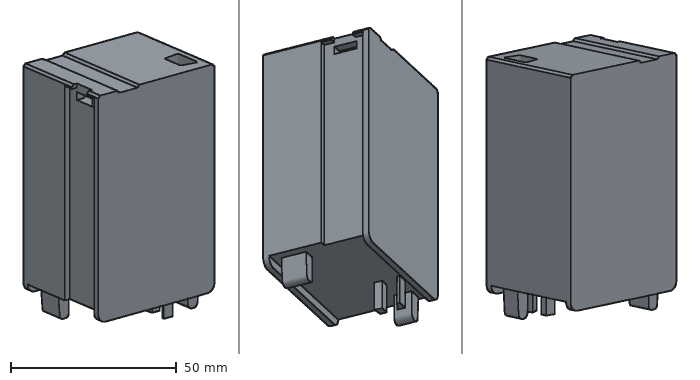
import cadquery as cq

WIDTH = 36.0
DEPTH = 45.0
HEIGHT = 79.7
LEFT = -WIDTH / 2
RIGHT = WIDTH / 2

SKIRT_Z = 6.5
FLOOR_Z = 9.4
WALL = 2.1
SKIRT_RADIUS = FLOOR_Z - SKIRT_Z
EDGE_CHAMFER = 0.8

GROOVE_DEPTH = 0.8
GROOVE_FRONT = 7.4
GROOVE_BACK = 15.95
GROOVE_SLOPE = 0.8

PANEL_LEFT = LEFT + 19.9
PANEL_RIGHT = RIGHT - WALL
PANEL_TOP = HEIGHT - 1.35
PANEL_DEPTH = 1.9
NOTCH_LEFT = LEFT + 23.35
NOTCH_RIGHT = LEFT + 30.5
SLOT_RIGHT = LEFT + 30.85
SLOT_TOP = HEIGHT - 2.8
SLOT_BOTTOM = HEIGHT - 5.35
SLOT_DEPTH = 3.2
SLOT_RADIUS = 0.9

POCKET_X = LEFT + 27.0
POCKET_BACK = DEPTH - 3.0
POCKET_FRONT = DEPTH - 9.0
POCKET_BACK_WIDTH = 9.7
POCKET_FRONT_WIDTH = 7.8
POCKET_DEPTH = 5.3
POCKET_RADIUS = 0.8

FRONT_FOOT_LEFT = LEFT + 4.8
FRONT_FOOT_WIDTH = 8.4
FRONT_FOOT_Y = 2.95
FRONT_FOOT_BACK = 7.0
FRONT_FOOT_BOTTOM = 0.4
FRONT_FOOT_TAPER = 0.6
FRONT_FOOT_TAPER_Z = 8.4
FRONT_FOOT_RADIUS = 1.3
REAR_FOOT_LEFT = LEFT + 23.9
REAR_FOOT_WIDTH = 6.05
REAR_FOOT_FRONT = DEPTH - 5.5
REAR_FOOT_BACK = DEPTH - 1.2
REAR_FOOT_TAPER = 0.55
REAR_FOOT_BOTTOM = 0.15
REAR_FOOT_RADIUS = 1.8
PIN_FRONT = DEPTH - 15.95
PIN_BACK = DEPTH - 12.35
PIN_LEFT = LEFT + 22.5
LEFT_PIN_WIDTH = 2.55
LEFT_PIN_DRAFT = 0.4
RIGHT_PIN_FRONT_WIDTH = 1.1
RIGHT_PIN_BACK_WIDTH = 2.6
PIN_FRONT_SLOPE = 0.3
PIN_RIGHT = LEFT + 31.3


def box(x0, x1, y0, y1, z0, z1):
    return cq.Workplane("XY").box(x1 - x0, y1 - y0, z1 - z0, centered=False).translate((x0, y0, z0))


def side_prism(points, x0, x1):
    """Extrude an outline of (Y, Z) points from x0 to x1."""
    return cq.Workplane("YZ", origin=(x0, 0, 0)).polyline(points).close().extrude(x1 - x0)


def plan_prism(points, z0, z1):
    """Extrude an outline of (X, Y) points from z0 to z1."""
    return cq.Workplane("XY", origin=(0, 0, z0)).polyline(points).close().extrude(z1 - z0)


def housing():
    body = box(LEFT, RIGHT, 0, DEPTH, SKIRT_Z, HEIGHT)
    body = body.edges("|X and >Z").chamfer(EDGE_CHAMFER)
    body = body.edges("|X and <Z").fillet(SKIRT_RADIUS)
    return body.cut(box(LEFT + WALL, RIGHT - WALL, 0, DEPTH, SKIRT_Z, FLOOR_Z))


def top_groove():
    bottom = HEIGHT - GROOVE_DEPTH
    outline = [
        (GROOVE_FRONT, HEIGHT),
        (GROOVE_FRONT + GROOVE_SLOPE, bottom),
        (GROOVE_BACK - GROOVE_SLOPE, bottom),
        (GROOVE_BACK, HEIGHT),
    ]
    return side_prism(outline, LEFT, RIGHT)


def label_panel():
    panel = box(PANEL_LEFT, PANEL_RIGHT, 0, PANEL_DEPTH, FLOOR_Z, PANEL_TOP)
    return panel.union(box(NOTCH_LEFT, NOTCH_RIGHT, 0, PANEL_DEPTH, PANEL_TOP, HEIGHT))


def finger_slot():
    slot = box(NOTCH_LEFT, SLOT_RIGHT, PANEL_DEPTH, PANEL_DEPTH + SLOT_DEPTH, SLOT_BOTTOM, SLOT_TOP)
    return slot.edges("|X and >Y and <Z").fillet(SLOT_RADIUS)


def top_pocket():
    outline = [
        (POCKET_X - POCKET_FRONT_WIDTH / 2, POCKET_FRONT),
        (POCKET_X + POCKET_FRONT_WIDTH / 2, POCKET_FRONT),
        (POCKET_X + POCKET_BACK_WIDTH / 2, POCKET_BACK),
        (POCKET_X - POCKET_BACK_WIDTH / 2, POCKET_BACK),
    ]
    pocket = plan_prism(outline, HEIGHT - POCKET_DEPTH, HEIGHT)
    return pocket.edges("|Z").fillet(POCKET_RADIUS)


def front_foot():
    outline = [
        (FRONT_FOOT_Y, FLOOR_Z),
        (FRONT_FOOT_Y, FRONT_FOOT_TAPER_Z),
        (FRONT_FOOT_Y + FRONT_FOOT_TAPER, FRONT_FOOT_BOTTOM),
        (FRONT_FOOT_BACK, FRONT_FOOT_BOTTOM),
        (FRONT_FOOT_BACK, FLOOR_Z),
    ]
    foot = side_prism(outline, FRONT_FOOT_LEFT, FRONT_FOOT_LEFT + FRONT_FOOT_WIDTH)
    return foot.edges("|X and <Z").fillet(FRONT_FOOT_RADIUS)


def rear_foot():
    outline = [
        (REAR_FOOT_FRONT, FLOOR_Z),
        (REAR_FOOT_FRONT, REAR_FOOT_BOTTOM),
        (REAR_FOOT_BACK - REAR_FOOT_TAPER, REAR_FOOT_BOTTOM),
        (REAR_FOOT_BACK, FLOOR_Z),
    ]
    foot = side_prism(outline, REAR_FOOT_LEFT, REAR_FOOT_LEFT + REAR_FOOT_WIDTH)
    return foot.edges("|X and <Z").fillet(REAR_FOOT_RADIUS)


def guide_pins():
    left_inner = PIN_LEFT + LEFT_PIN_WIDTH
    left_outline = [
        (PIN_LEFT, PIN_FRONT + PIN_FRONT_SLOPE),
        (left_inner, PIN_FRONT + 2 * PIN_FRONT_SLOPE),
        (left_inner, PIN_BACK),
        (PIN_LEFT + LEFT_PIN_DRAFT, PIN_BACK),
    ]
    right_outline = [
        (PIN_RIGHT - RIGHT_PIN_FRONT_WIDTH, PIN_FRONT + PIN_FRONT_SLOPE),
        (PIN_RIGHT, PIN_FRONT),
        (PIN_RIGHT, PIN_BACK),
        (PIN_RIGHT - RIGHT_PIN_BACK_WIDTH, PIN_BACK),
    ]
    left_pin = plan_prism(left_outline, 0, FLOOR_Z)
    return left_pin.union(plan_prism(right_outline, 0, FLOOR_Z))


result = housing()
for cutter in (top_groove(), label_panel(), finger_slot(), top_pocket()):
    result = result.cut(cutter)
for support in (front_foot(), rear_foot(), guide_pins()):
    result = result.union(support)